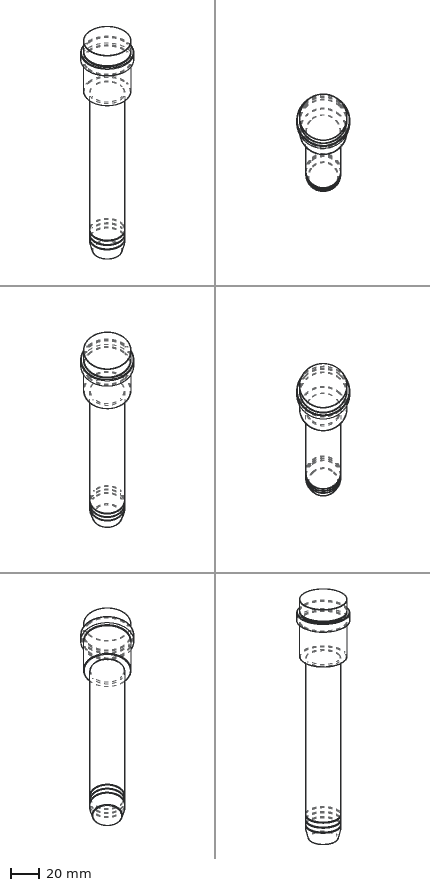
import cadquery as cq

length = 190.0
head_bottom = 144.0
collar_bottom = 173.0
collar_top = 179.7

collar_radius = 19.0
head_radius = 17.0
shaft_radius = 12.5
neck_radius = 12.0
nose_radius = 10.8

collar_chamfer = 0.5
head_chamfer = 0.5
head_top_chamfer = 0.28
neck_height = 1.1
relief_width = 1.1
relief_depth = 0.4

nose_height = 7.5
nose_tip_chamfer = 0.5
groove_count = 3
groove_pitch = 4.0
first_groove = 10.6
groove_width = 1.0
groove_depth = 0.28


def cylinder(radius, bottom, top):
    """Solid cylinder on the Z axis between two heights."""
    return cq.Workplane("XY").workplane(offset=bottom).circle(radius).extrude(top - bottom)


def groove_cutter(radius, depth, bottom, width):
    """Ring of V section that sinks a groove into a cylinder of the given radius."""
    points = [
        (radius + depth, bottom - width / 2),
        (radius - depth, bottom + width / 2),
        (radius + depth, bottom + 3 * width / 2),
    ]
    return cq.Workplane("XZ").polyline(points).close().revolve(360, (0, 0), (0, 1))


def make_shaft():
    """Grooved shaft with a tapered nose and a neck that tapers in under the head."""
    shoulder = head_bottom - neck_height
    profile = [
        (0, 0),
        (nose_radius - nose_tip_chamfer, 0),
        (nose_radius, nose_tip_chamfer),
        (shaft_radius, nose_height),
        (shaft_radius, shoulder),
        (neck_radius, head_bottom),
        (0, head_bottom),
    ]
    shaft = cq.Workplane("XZ").polyline(profile).close().revolve(360, (0, 0), (0, 1))
    for index in range(groove_count):
        groove_bottom = first_groove + index * groove_pitch - groove_width / 2
        shaft = shaft.cut(groove_cutter(shaft_radius, groove_depth, groove_bottom, groove_width))
    return shaft


def make_head():
    """Cylindrical head with a shallow relief on each side of its collar."""
    head = cylinder(head_radius, head_bottom, length)
    head = head.faces("<Z").edges().chamfer(head_chamfer)
    head = head.faces(">Z").edges().chamfer(head_top_chamfer)
    for bottom in (collar_bottom - relief_width, collar_top):
        head = head.cut(groove_cutter(head_radius, relief_depth, bottom, relief_width))
    collar = cylinder(collar_radius, collar_bottom, collar_top)
    return head.union(collar.faces(">Z").edges().chamfer(collar_chamfer))


result = make_shaft().union(make_head())